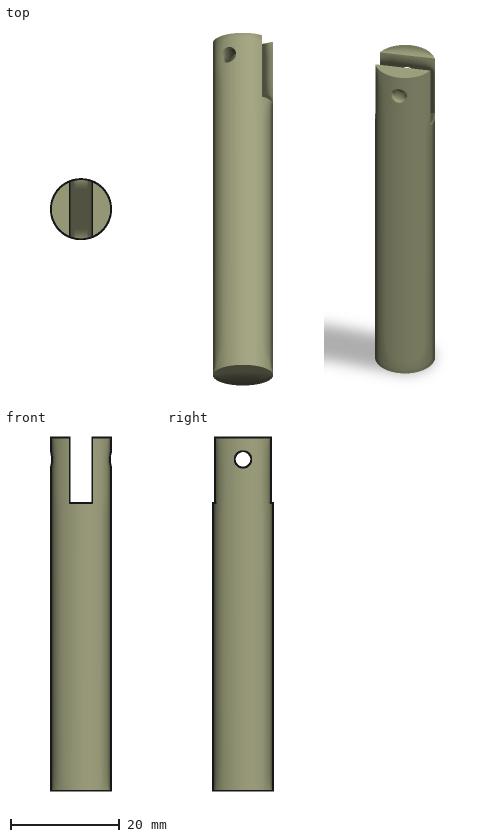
import cadquery as cq

rod_length = 65.0
rod_diameter = 11.1

slot_width = 4.1
slot_depth = 12.0

pin_hole_diameter = 3.0
pin_hole_below_top = 4.0


def make_rod():
    return cq.Workplane("XY").circle(rod_diameter / 2).extrude(rod_length)


def make_slot():
    """Slot running along Y, open at the top."""
    return (
        cq.Workplane("XY")
        .workplane(offset=rod_length - slot_depth)
        .rect(slot_width, rod_diameter)
        .extrude(slot_depth)
    )


def make_pin_hole():
    """Hole along X, square to the slot."""
    return (
        cq.Workplane("YZ")
        .center(0, rod_length - pin_hole_below_top)
        .circle(pin_hole_diameter / 2)
        .extrude(rod_diameter / 2, both=True)
    )


result = make_rod().cut(make_slot()).cut(make_pin_hole())